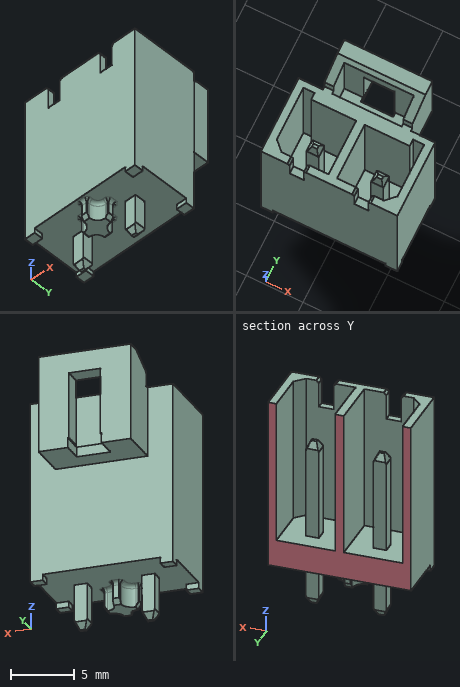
import cadquery as cq
import math


overall_height = 20.73

housing_width = 12.05
housing_depth = 6.75
housing_height = 15.25

foot_width = 1.05
foot_depth = 0.9
foot_height = 0.5

pitch = 5.7
contact_xs = (-pitch / 2, pitch / 2)

front_wall = 0.66
side_wall = 0.7
back_wall = 1.16
partition = 0.75
cavity_floor_z = 2.9
key_width = 0.97
key_depth = 0.6
corner_cut = 0.79

slot_width = 1.25
slot_depth = 2.35
slot_chamfer = 0.2

latch_width = 7.77
latch_depth = 3.84
latch_rise = 2.22
latch_drop = 5.9
latch_top_depth = 1.25
latch_slope_drop = 1.05
latch_slope_gap = 0.27
latch_back_wall = 1.65
latch_opening = 6.14
latch_floor = 0.83
window_width = 2.67
window_rise = 0.48
floor_slot_width = 2.85
floor_slot_depth = 0.37

pin_y = 3.32
pin_width = 1.1
pin_depth = 1.04
pin_tip_width = 0.45
pin_tip_depth = 0.27
pin_side_taper = 0.73
pin_face_taper = 0.58
pin_top_z = 11.4
pin_bottom_z = housing_height + latch_rise - overall_height

peg_y = 1.97
peg_reach = 1.5
peg_length = 1.93
rib_half = 0.31
rib_corner = 0.08
flute_start = 1.2
peg_fillet = 0.33
peg_chamfer_width = 0.3
peg_chamfer_height = 0.48


def block(x_range, y_range, z_range):
    """Box given by its lower and upper limits along each axis."""
    (x0, x1), (y0, y1), (z0, z1) = x_range, y_range, z_range
    return cq.Workplane("XY").box(x1 - x0, y1 - y0, z1 - z0, centered=False).translate((x0, y0, z0))


def centred(width):
    return -width / 2, width / 2


def make_housing():
    body = block(centred(housing_width), (0, housing_depth), (0, housing_height))
    gap_x = centred(housing_width - 2 * foot_width)
    gap_y = (foot_depth, housing_depth - foot_depth)
    body = body.cut(block(gap_x, (0, housing_depth), (0, foot_height)))
    return body.cut(block(centred(housing_width), gap_y, (0, foot_height)))


def make_cavity():
    """Right-hand cavity with a corner cut at the front and a key groove at the back."""
    inner = partition / 2
    outer = housing_width / 2 - side_wall
    front = front_wall
    back = housing_depth - back_wall
    outline = [
        (inner, front),
        (outer - corner_cut, front),
        (outer, front + corner_cut),
        (outer, back + key_depth),
        (outer - key_width, back + key_depth),
        (outer - key_width, back),
        (inner, back),
    ]
    depth = housing_height - cavity_floor_z
    return cq.Workplane("XY").workplane(offset=cavity_floor_z).polyline(outline).close().extrude(depth)


def make_slot(x):
    """Slot through the front wall, chamfered where it meets the rim."""
    half = slot_width / 2
    top = housing_height
    outline = [
        (x - half, top - slot_depth),
        (x + half, top - slot_depth),
        (x + half, top - slot_chamfer),
        (x + half + slot_chamfer, top),
        (x - half - slot_chamfer, top),
        (x - half, top - slot_chamfer),
    ]
    return cq.Workplane("XZ").polyline(outline).close().extrude(-front_wall)


def make_latch():
    """Frame with a sloped top, open toward the housing, with a window in its back wall."""
    back = housing_depth + latch_depth
    bottom = housing_height - latch_drop
    top = housing_height + latch_rise
    slope_end = housing_depth + latch_slope_gap
    profile = [
        (housing_depth, bottom),
        (back, bottom),
        (back, top),
        (back - latch_top_depth, top),
        (slope_end, top - latch_slope_drop),
        (slope_end, housing_height),
        (housing_depth, housing_height),
    ]
    latch = cq.Workplane("YZ").polyline(profile).close().extrude(latch_width / 2, both=True)
    inner_back = back - latch_back_wall
    floor_top = bottom + latch_floor
    opening = block(centred(latch_opening), (housing_depth, inner_back), (floor_top, top))
    window = block(centred(window_width), (inner_back, back), (floor_top, housing_height + window_rise))
    floor_slot = block(centred(floor_slot_width), (inner_back - floor_slot_depth, back), (bottom, floor_top))
    return latch.cut(opening).cut(window).cut(floor_slot)


def make_pin_profile(plane, width, tip_width, taper):
    """Upright bar, tapered at both ends."""
    half = width / 2
    tip_half = tip_width / 2
    outline = [
        (tip_half, pin_bottom_z),
        (half, pin_bottom_z + taper),
        (half, pin_top_z - taper),
        (tip_half, pin_top_z),
        (-tip_half, pin_top_z),
        (-half, pin_top_z - taper),
        (-half, pin_bottom_z + taper),
        (-tip_half, pin_bottom_z),
    ]
    return cq.Workplane(plane).polyline(outline).close().extrude(pin_width, both=True)


def make_pin():
    """Straight contact with four tapered faces at each end."""
    across_x = make_pin_profile("XZ", pin_width, pin_tip_width, pin_side_taper)
    across_y = make_pin_profile("YZ", pin_depth, pin_tip_depth, pin_face_taper)
    return across_x.intersect(across_y)


def make_peg_prism():
    """Fluted cross-section extruded down from the underside of the housing."""
    flute_radius = flute_start - rib_half
    flute_middle = flute_start - flute_radius * math.sqrt(0.5)
    tip_half = rib_half - rib_corner
    quarter_points = [
        (tip_half, peg_reach),
        (rib_half, peg_reach - rib_corner),
        (rib_half, flute_start),
        (flute_middle, flute_middle),
        (flute_start, rib_half),
        (peg_reach - rib_corner, rib_half),
        (peg_reach, tip_half),
    ]
    sketch = cq.Workplane("XY").workplane(offset=foot_height).moveTo(-tip_half, peg_reach)
    for quarter in range(4):
        cosine = round(math.cos(quarter * math.pi / 2))
        sine = round(math.sin(quarter * math.pi / 2))
        points = [(x * cosine + y * sine, y * cosine - x * sine) for x, y in quarter_points]
        sketch = sketch.lineTo(*points[0]).lineTo(*points[1]).lineTo(*points[2])
        sketch = sketch.threePointArc(points[3], points[4]).lineTo(*points[5])
        if quarter < 3:
            sketch = sketch.lineTo(*points[6])
    return sketch.close().extrude(-peg_length)


def make_peg():
    """Peg with the free end of every rib sloped inward."""
    bottom = foot_height - peg_length
    inner = peg_reach - peg_chamfer_width
    profile = [(peg_reach, bottom + peg_chamfer_height), (peg_reach, bottom), (inner, bottom)]
    wedge = cq.Workplane("XZ").polyline(profile).close().extrude(rib_half, both=True)
    peg = make_peg_prism()
    for quarter in range(4):
        peg = peg.cut(wedge.rotate((0, 0, 0), (0, 0, 1), 90 * quarter))
    return peg.translate((0, peg_y, 0))


def fillet_peg_root(part):
    """Rounds the peg into the underside of the housing."""
    margin = 0.02
    reach = peg_reach + margin
    root = cq.selectors.BoxSelector(
        (-reach, peg_y - reach, foot_height - margin), (reach, peg_y + reach, foot_height + margin)
    )
    return part.edges(root).fillet(peg_fillet)


part = make_housing().union(make_peg())
part = fillet_peg_root(part).union(make_latch())
cavity = make_cavity()
part = part.cut(cavity).cut(cavity.mirror("YZ"))
for contact_x in contact_xs:
    part = part.cut(make_slot(contact_x))
for contact_x in contact_xs:
    part = part.union(make_pin().translate((contact_x, pin_y, 0)))

result = part